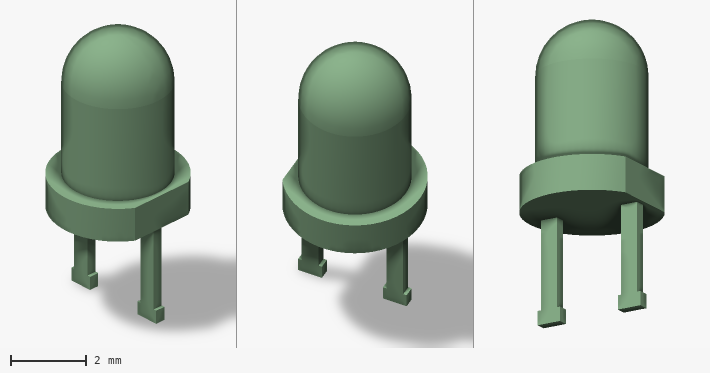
import cadquery as cq

lens_diameter = 3.0
lens_radius = lens_diameter / 2
flange_diameter = 3.85
flange_radius = flange_diameter / 2
flange_height = 1.0
width_across_flat = 3.58
flat_x = width_across_flat - flange_radius
barrel_height = 2.8
barrel_top_z = flange_height + barrel_height

lead_pitch = 2.5
lead_width = 0.5
lead_thickness = 0.3
lead_length = 2.9
foot_width = 0.7
foot_height = 0.4


def make_lens():
    """Domed lens and flange, with a flat on the +X side of the flange."""
    flange = cq.Workplane("XY").circle(flange_radius).extrude(flange_height)
    beyond_flat = (
        cq.Workplane("XY")
        .box(flange_diameter, flange_diameter, flange_height, centered=(False, True, False))
        .translate((flat_x, 0, 0))
    )
    barrel = (
        cq.Workplane("XY")
        .workplane(offset=flange_height)
        .circle(lens_radius)
        .extrude(barrel_height)
    )
    dome = (
        cq.Workplane("XZ", origin=(0, 0, barrel_top_z))
        .lineTo(lens_radius, 0)
        .radiusArc((0, lens_radius), -lens_radius)
        .close()
        .revolve(360, (0, 0, 0), (0, 1, 0))
    )
    return flange.cut(beyond_flat).union(barrel).union(dome)


def make_lead(center_x):
    """One straight lead with its foot, ending flush against the flange underside."""
    strip = cq.Workplane("XY").box(
        lead_width, lead_thickness, lead_length, centered=(True, True, False)
    )
    foot = cq.Workplane("XY").box(
        foot_width, lead_thickness, foot_height, centered=(True, True, False)
    )
    return strip.union(foot).translate((center_x, 0, -lead_length))


lens = make_lens()
leads = [make_lead(side * lead_pitch / 2) for side in (-1, 1)]

result = cq.Compound.makeCompound([lens.val(), *[lead.val() for lead in leads]])